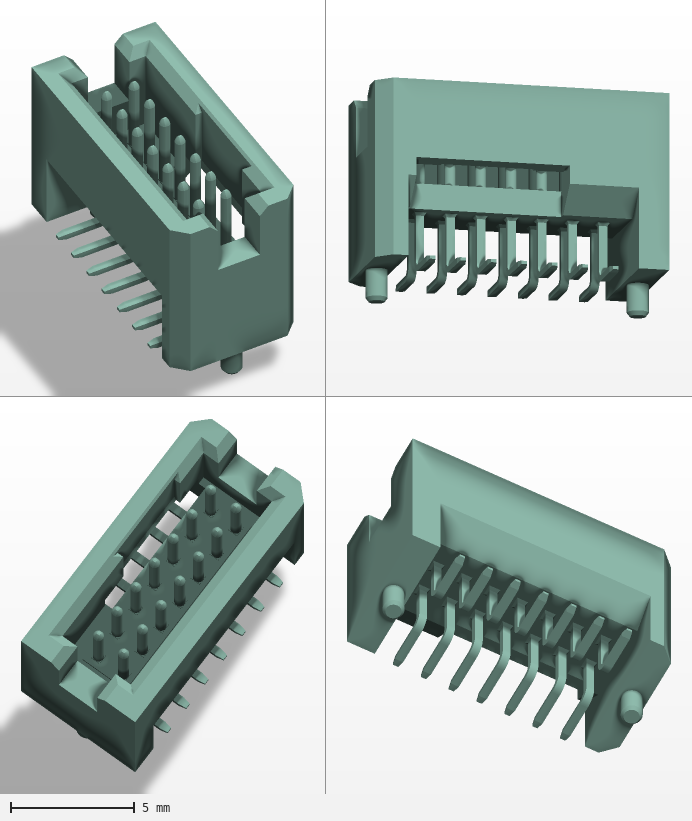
import cadquery as cq

LENGTH = 12.07
WIDTH = 5.72
HEIGHT = 7.34
CORNER_CHAMFER = 0.63

POCKET_LENGTH = 9.56
POCKET_WIDTH = 3.43
FLOOR_Z = 3.34
LEAD_IN = 0.4

NOTCH_WIDTH = 1.92
NOTCH_FLOOR_Z = 4.88

ARCH_LENGTH = POCKET_LENGTH
ARCH_EDGE_Z = FLOOR_Z
UNDERSIDE_Z = 2.3
SHOULDER_RUN = (WIDTH - POCKET_WIDTH) / 2

RECESS_X = (-0.65, 3.19)
RECESS_Y = 2.0
RECESS_FOOT_RISE = 0.29
RECESS_FOOT_RUN = 0.1
WINDOW_X = (-1.91, 4.45)
WINDOW_FRONT_Y = 1.39
WINDOW_TOP_Z = 4.09

BLOCK_LENGTH = 8.55
BLOCK_WIDTH = 2.16
BLOCK_RISE = 0.1

COLUMNS = 7
PITCH = 1.27
PIN_SIZE = 0.45
PIN_FLAT_SPACING = 0.42
PIN_TOP_Z = 6.77
PIN_TIP_HEIGHT = 0.29
PIN_TIP_RADIUS = 0.07
PIN_TIP_FLAT = 0.04
PIN_DOME_RADIUS = 0.6
SHANK_RISE = 0.05
COLLAR_SIZE = 0.51
COLLAR_HEIGHT = 0.12
LEG_WIDTH = 0.35
LEG_THICKNESS = 0.25
FOOT_BOTTOM_Z = -0.17
FOOT_END_Y = 2.92
BEND_RADIUS = 0.3
FOOT_TIP_LENGTH = 0.33
FOOT_TIP_INSET = 0.06

PEG_DIAMETER = 0.89
PEG_LENGTH = 1.3
PEG_X = 5.42
PEG_CHAMFER = 0.12
PEG_CHAMFER_HEIGHT = 0.16


def box_between(x_range, y_range, z_range):
    """Box given by its lower and upper limits along each axis."""
    (x0, x1), (y0, y1), (z0, z1) = x_range, y_range, z_range
    return cq.Workplane("XY").box(x1 - x0, y1 - y0, z1 - z0, centered=False).translate((x0, y0, z0))


def centred(size):
    """Limits of a length centred on zero."""
    return (-size / 2, size / 2)


def make_block():
    block = cq.Workplane("XY").box(LENGTH, WIDTH, HEIGHT, centered=(True, True, False))
    return block.edges("|Z and >X").chamfer(CORNER_CHAMFER)


def make_pocket():
    straight = box_between(centred(POCKET_LENGTH), centred(POCKET_WIDTH), (FLOOR_Z, HEIGHT))
    lead_in = (
        cq.Workplane("XY")
        .workplane(offset=HEIGHT - LEAD_IN)
        .rect(POCKET_LENGTH, POCKET_WIDTH)
        .workplane(offset=LEAD_IN)
        .rect(POCKET_LENGTH + 2 * LEAD_IN, POCKET_WIDTH + 2 * LEAD_IN)
        .loft(ruled=True)
    )
    return straight.union(lead_in)


def make_notch():
    half = NOTCH_WIDTH / 2
    outline = [
        (-half, NOTCH_FLOOR_Z),
        (half, NOTCH_FLOOR_Z),
        (half, HEIGHT - LEAD_IN),
        (half + LEAD_IN, HEIGHT),
        (-half - LEAD_IN, HEIGHT),
        (-half, HEIGHT - LEAD_IN),
    ]
    return cq.Workplane("YZ").polyline(outline).close().extrude(LENGTH / 2, both=True)


def make_arch():
    edge = WIDTH / 2
    inner = edge - SHOULDER_RUN
    outline = [
        (-edge, 0),
        (-edge, ARCH_EDGE_Z),
        (-inner, UNDERSIDE_Z),
        (inner, UNDERSIDE_Z),
        (edge, ARCH_EDGE_Z),
        (edge, 0),
    ]
    return cq.Workplane("YZ").polyline(outline).close().extrude(ARCH_LENGTH / 2, both=True)


def make_recess():
    """Wall recess: ends flare with the lead-in, and the foot slopes back to the wall."""
    left, right = RECESS_X
    flare_z = HEIGHT - LEAD_IN
    front_outline = [
        (left, WINDOW_TOP_Z),
        (right, WINDOW_TOP_Z),
        (right, flare_z),
        (right + LEAD_IN, HEIGHT),
        (left - LEAD_IN, HEIGHT),
        (left, flare_z),
    ]
    side_outline = [
        (0, WINDOW_TOP_Z),
        (RECESS_Y - RECESS_FOOT_RUN, WINDOW_TOP_Z),
        (RECESS_Y, WINDOW_TOP_Z + RECESS_FOOT_RISE),
        (RECESS_Y, HEIGHT),
        (0, HEIGHT),
    ]
    across = cq.Workplane("XZ").polyline(front_outline).close().extrude(-RECESS_Y)
    along = cq.Workplane("YZ").polyline(side_outline).close().extrude(LENGTH / 2, both=True)
    return across.intersect(along)


def make_housing():
    window = box_between(WINDOW_X, (WINDOW_FRONT_Y, WIDTH / 2), (0, WINDOW_TOP_Z))
    block_z = (FLOOR_Z, FLOOR_Z + BLOCK_RISE)
    contact_block = box_between(centred(BLOCK_LENGTH), centred(BLOCK_WIDTH), block_z)
    housing = make_block().cut(make_pocket()).cut(make_notch()).cut(make_arch())
    return housing.cut(make_recess()).cut(window).union(contact_block)


def make_pin():
    """Upright pin on the Z axis: square shank, round body with two flats, domed tip."""
    shank_top = FLOOR_Z + BLOCK_RISE + SHANK_RISE
    tip_base = PIN_TOP_Z - PIN_TIP_HEIGHT
    radius = PIN_SIZE / 2
    flat = PIN_FLAT_SPACING / 2
    shank = box_between(centred(PIN_SIZE), centred(PIN_SIZE), (UNDERSIDE_Z, shank_top))
    round_pin = (
        cq.Workplane("XZ")
        .moveTo(0, UNDERSIDE_Z)
        .lineTo(radius, UNDERSIDE_Z)
        .lineTo(radius, tip_base)
        .radiusArc((PIN_TIP_RADIUS, PIN_TOP_Z), -PIN_DOME_RADIUS)
        .lineTo(0, PIN_TOP_Z)
        .close()
        .revolve(360, (0, 0, 0), (0, 1, 0))
    )
    between_flats = (
        cq.Workplane("XZ")
        .moveTo(-flat, UNDERSIDE_Z)
        .lineTo(flat, UNDERSIDE_Z)
        .lineTo(flat, tip_base)
        .radiusArc((PIN_TIP_FLAT, PIN_TOP_Z), -PIN_DOME_RADIUS)
        .lineTo(-PIN_TIP_FLAT, PIN_TOP_Z)
        .radiusArc((-flat, tip_base), -PIN_DOME_RADIUS)
        .close()
        .extrude(radius, both=True)
    )
    return round_pin.intersect(between_flats).union(shank)


def make_leg():
    """Bent leg below the pin, running down and then out along +Y to a tapered tip."""
    half = LEG_THICKNESS / 2
    foot_top = FOOT_BOTTOM_Z + LEG_THICKNESS
    outer_radius = BEND_RADIUS + LEG_THICKNESS
    foot_end = FOOT_END_Y - PITCH / 2
    taper_start = foot_end - FOOT_TIP_LENGTH
    collar = (
        cq.Workplane("XY")
        .workplane(offset=UNDERSIDE_Z - COLLAR_HEIGHT)
        .rect(LEG_WIDTH, LEG_THICKNESS)
        .workplane(offset=COLLAR_HEIGHT)
        .rect(COLLAR_SIZE, COLLAR_SIZE)
        .loft(ruled=True)
    )
    bend = (
        cq.Workplane("YZ")
        .moveTo(-half, UNDERSIDE_Z)
        .lineTo(-half, FOOT_BOTTOM_Z + outer_radius)
        .radiusArc((-half + outer_radius, FOOT_BOTTOM_Z), -outer_radius)
        .lineTo(taper_start, FOOT_BOTTOM_Z)
        .lineTo(taper_start, foot_top)
        .lineTo(half + BEND_RADIUS, foot_top)
        .radiusArc((half, foot_top + BEND_RADIUS), BEND_RADIUS)
        .lineTo(half, UNDERSIDE_Z)
        .close()
        .extrude(LEG_WIDTH / 2, both=True)
    )
    tip = (
        bend.faces(">Y")
        .workplane(centerOption="CenterOfMass")
        .rect(LEG_WIDTH, LEG_THICKNESS)
        .workplane(offset=FOOT_TIP_LENGTH)
        .rect(LEG_WIDTH - 2 * FOOT_TIP_INSET, LEG_THICKNESS - 2 * FOOT_TIP_INSET)
        .loft(ruled=True, combine=False)
    )
    return collar.union(bend).union(tip)


def make_peg(x):
    peg = cq.Workplane("XY").circle(PEG_DIAMETER / 2).extrude(-PEG_LENGTH)
    return peg.faces("<Z").chamfer(PEG_CHAMFER_HEIGHT, PEG_CHAMFER).translate((x, 0, 0))


result = make_housing()

back_contact = make_pin().union(make_leg()).translate((0, PITCH / 2, 0))
front_contact = back_contact.mirror("XZ")
for column in range(COLUMNS):
    x = (column - (COLUMNS - 1) / 2) * PITCH
    result = result.union(back_contact.translate((x, 0, 0)))
    result = result.union(front_contact.translate((x, 0, 0)))

for peg_x in (-PEG_X, PEG_X):
    result = result.union(make_peg(peg_x))